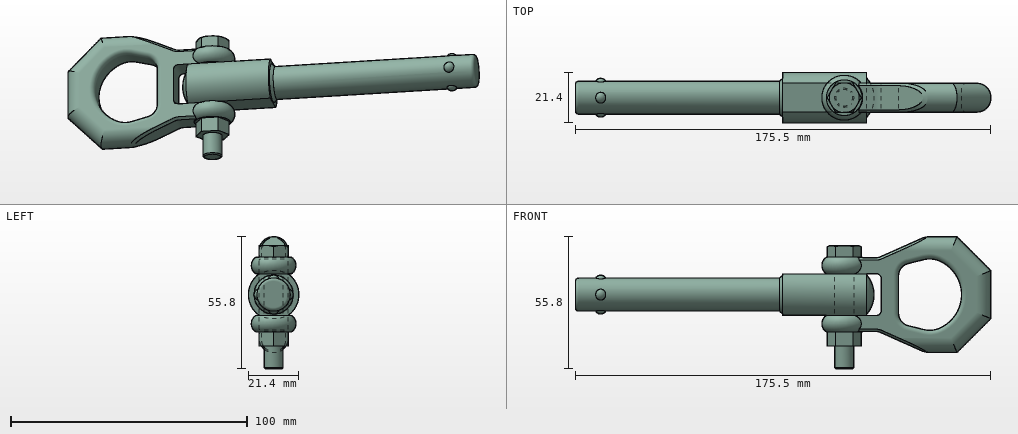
import cadquery as cq
import math

overall_length = 175.5
overall_height = 55.8
ring_height = 49.0

shaft_radius = 7.0
tip_fillet = 1.4
ball_x = 10.7
ball_radius = 2.5
ball_reach = 8.2
ball_count = 4
collar_start = 87.5
collar_end = 123.0
collar_radius = 10.7
collar_flat = 8.8
neck_start = 86.2
neck_radius = 8.2
button_radius = 8.5
dome_start = 124.0
dome_base_radius = 7.0
button_end = 126.2

bolt_x = 113.5
bolt_radius = 4.0
bolt_bottom = ring_height / 2 - overall_height
bolt_end_chamfer = 0.5
hex_flats = 12.5
hex_corners = hex_flats / math.cos(math.pi / 6)
hex_chamfer_drop = 0.5
hex_chamfer_width = 0.9
head_height = 5.0
nut_height = 6.0

selection_margin = 0.2
half_thickness = 6.1
eye_height = 7.0
eye_face_radius = 7.5
eye_radius = 9.5
eye_outer = collar_flat + eye_height
arm_half_height = 15.6
bend_x = 128.0
bend_radius = 5.0
slope_angle = math.radians(24)
edge_chamfer = 1.0
slot_end = 129.2
slot_fillet = 2.1

ring_apothem = ring_height / 2
ring_x = overall_length - ring_apothem
ring_half_side = ring_apothem * math.tan(math.pi / 8)
rail_fillet = 6.0

opening_back = 136.5
opening_corner_radius = 5.3
opening_slope = math.radians(14)
shoulder_radius = 10.2
bow_radius = 15.5
bow_x = 147.6
bow_end_angle = math.radians(67)
opening_fillet = 2.1


def front_sketch(y):
    """XZ workplane at the given Y; sketches extrude toward -Y."""
    return cq.Workplane("XZ", origin=(0, y, 0))


def make_shaft():
    """Shaft, neck cone and domed end button in one revolved profile."""
    dome_height = button_end - dome_start
    dome_radius = (dome_base_radius**2 + dome_height**2) / (2 * dome_height)
    dome_mid_radius = dome_base_radius / 2
    dome_mid_x = button_end - dome_radius + math.sqrt(dome_radius**2 - dome_mid_radius**2)
    shaft = (
        cq.Workplane("XY")
        .moveTo(0, 0)
        .lineTo(0, shaft_radius)
        .lineTo(neck_start, shaft_radius)
        .lineTo(collar_start, neck_radius)
        .lineTo(collar_end, button_radius)
        .lineTo(dome_start, dome_base_radius)
        .threePointArc((dome_mid_x, dome_mid_radius), (button_end, 0))
        .close()
        .revolve(360, (0, 0, 0), (1, 0, 0))
    )
    return shaft.faces("<X").edges().fillet(tip_fillet)


def make_collar():
    """Round sleeve with two flats facing +Z and -Z."""
    length = collar_end - collar_start
    sleeve = cq.Workplane("YZ", origin=(collar_start, 0, 0)).circle(collar_radius).extrude(length)
    between_flats = cq.Workplane("XY", origin=(collar_start + length / 2, 0, 0)).box(
        length, 2 * collar_radius, 2 * collar_flat
    )
    return sleeve.intersect(between_flats)


def make_lifting_pin():
    """Shaft, collar and locking balls, with the cross hole for the bolt."""
    pin = make_shaft().union(make_collar())
    ball_offset = ball_reach - ball_radius
    for index in range(ball_count):
        angle = 2 * math.pi * index / ball_count
        centre = (ball_x, ball_offset * math.cos(angle), ball_offset * math.sin(angle))
        pin = pin.union(cq.Workplane("XY", origin=centre).sphere(ball_radius))
    cross_hole = (
        cq.Workplane("XY", origin=(bolt_x, 0, -collar_radius)).circle(bolt_radius).extrude(2 * collar_radius)
    )
    return pin.cut(cross_hole)


def make_rails():
    """Octagonal plate, stretched back to the bolt, with rounded outer rails."""
    top_corner_x = ring_x + ring_half_side
    return (
        front_sketch(half_thickness)
        .polyline([
            (bolt_x, -ring_apothem),
            (top_corner_x, -ring_apothem),
            (overall_length, -ring_half_side),
            (overall_length, ring_half_side),
            (top_corner_x, ring_apothem),
            (bolt_x, ring_apothem),
        ])
        .close()
        .extrude(2 * half_thickness)
        .faces("|Y")
        .edges("not <X")
        .fillet(rail_fillet)
    )


def make_waist():
    """Prism that narrows the plate from the ring down to the arms, bending smoothly into the slopes."""
    slope_end_z = arm_half_height + (overall_length - bend_x) * math.tan(slope_angle)
    bend_setback = bend_radius * math.tan(slope_angle / 2)
    arm_end_x = bend_x - bend_setback
    slope_start_x = bend_x + bend_setback * math.cos(slope_angle)
    slope_start_z = arm_half_height + bend_setback * math.sin(slope_angle)
    return (
        front_sketch(half_thickness)
        .moveTo(bolt_x, -arm_half_height)
        .lineTo(arm_end_x, -arm_half_height)
        .tangentArcPoint((slope_start_x, -slope_start_z), relative=False)
        .lineTo(overall_length, -slope_end_z)
        .lineTo(overall_length, slope_end_z)
        .lineTo(slope_start_x, slope_start_z)
        .tangentArcPoint((arm_end_x, arm_half_height), relative=False)
        .lineTo(bolt_x, arm_half_height)
        .close()
        .extrude(2 * half_thickness)
    )


def make_plate():
    """Rounded octagon with its arms, chamfered along the arms and slopes."""
    plate = make_rails().intersect(make_waist())
    arm_zone = cq.selectors.BoxSelector(
        (bolt_x + selection_margin, -half_thickness, -ring_apothem + selection_margin),
        (ring_x - ring_half_side, half_thickness, ring_apothem - selection_margin),
    )
    outer_faces = plate.faces("not |Y").faces(arm_zone)
    return outer_faces.edges("not |Y").chamfer(edge_chamfer)


def make_opening():
    """Cutter for the ring opening."""
    sin_end = math.sin(bow_end_angle)
    cos_end = math.cos(bow_end_angle)
    sin_slope = math.sin(opening_slope)
    cos_slope = math.cos(opening_slope)

    bow_end = (bow_x + bow_radius * cos_end, bow_radius * sin_end)
    shoulder_x = bow_x + (bow_radius - shoulder_radius) * cos_end
    shoulder_z = (bow_radius - shoulder_radius) * sin_end
    shoulder_top = (shoulder_x, shoulder_z + shoulder_radius)
    slope_end = (shoulder_x - shoulder_radius * sin_slope, shoulder_z + shoulder_radius * cos_slope)

    corner_x = opening_back + opening_corner_radius
    slope_start_x = corner_x - opening_corner_radius * sin_slope
    slope_start_z = slope_end[1] - (slope_end[0] - slope_start_x) * math.tan(opening_slope)
    corner_z = slope_start_z - opening_corner_radius * cos_slope
    middle_angle = (math.pi + math.pi / 2 + opening_slope) / 2
    corner_middle = (
        corner_x + opening_corner_radius * math.cos(middle_angle),
        corner_z + opening_corner_radius * math.sin(middle_angle),
    )

    def mirrored(point):
        return (point[0], -point[1])

    slope_start = (slope_start_x, slope_start_z)
    back_end = (opening_back, corner_z)
    return (
        front_sketch(half_thickness)
        .moveTo(*mirrored(back_end))
        .lineTo(*back_end)
        .threePointArc(corner_middle, slope_start)
        .lineTo(*slope_end)
        .threePointArc(shoulder_top, bow_end)
        .threePointArc((bow_x + bow_radius, 0), mirrored(bow_end))
        .threePointArc(mirrored(shoulder_top), mirrored(slope_end))
        .lineTo(*mirrored(slope_start))
        .threePointArc(mirrored(corner_middle), mirrored(back_end))
        .close()
        .extrude(2 * half_thickness)
    )


def make_slot():
    """Cutter for the space between the arms, which the collar stands in."""
    slot_start = bolt_x - eye_radius
    return (
        cq.Workplane("XY", origin=((slot_start + slot_end) / 2, 0, 0))
        .box(slot_end - slot_start, 2 * collar_radius, 2 * collar_flat)
        .edges("|Y and >X")
        .fillet(slot_fillet)
    )


def make_eye(base_z):
    """Barrel-shaped eye around the bolt, standing on base_z."""
    top_z = base_z + eye_height
    return (
        cq.Workplane("XZ", origin=(bolt_x, 0, 0))
        .moveTo(0, base_z)
        .lineTo(eye_face_radius, base_z)
        .threePointArc((eye_radius, base_z + eye_height / 2), (eye_face_radius, top_z))
        .lineTo(0, top_z)
        .close()
        .revolve(360, (0, 0, 0), (0, 1, 0))
    )


def make_bolt_head(base_z, height):
    """Hexagonal head or nut with corners along X."""
    return cq.Workplane("XY", origin=(bolt_x, 0, base_z)).polygon(6, hex_corners).extrude(height)


def make_bolt():
    """Headed bolt with its nut, standing along Z."""
    head_top = eye_outer + head_height
    shank = (
        cq.Workplane("XY", origin=(bolt_x, 0, bolt_bottom))
        .circle(bolt_radius)
        .extrude(head_top - bolt_bottom)
        .faces("<Z")
        .chamfer(bolt_end_chamfer)
    )
    head = make_bolt_head(eye_outer, head_height)
    nut = make_bolt_head(-eye_outer - nut_height, nut_height)
    corner_trim = (
        cq.Workplane("XY", origin=(bolt_x, 0, bolt_bottom))
        .circle(hex_corners / 2)
        .extrude(head_top - bolt_bottom)
        .faces(">Z")
        .chamfer(hex_chamfer_drop, hex_chamfer_width)
    )
    return shank.union(head).union(nut).intersect(corner_trim)


def make_shackle():
    """Ring with arms and eyes, clamped together with the bolt as one body."""
    ring = make_plate().cut(make_opening())
    opening_walls = cq.selectors.BoxSelector(
        (opening_back - selection_margin, -2 * half_thickness, -bow_radius),
        (bow_x + bow_radius + selection_margin, 2 * half_thickness, bow_radius),
    )
    ring = ring.faces("|Y").edges(opening_walls).fillet(opening_fillet)
    shackle = ring.cut(make_slot())
    for base_z in (collar_flat, -eye_outer):
        shackle = shackle.union(make_eye(base_z))
    return shackle.union(make_bolt())


result = cq.Compound.makeCompound([make_lifting_pin().val(), make_shackle().val()])